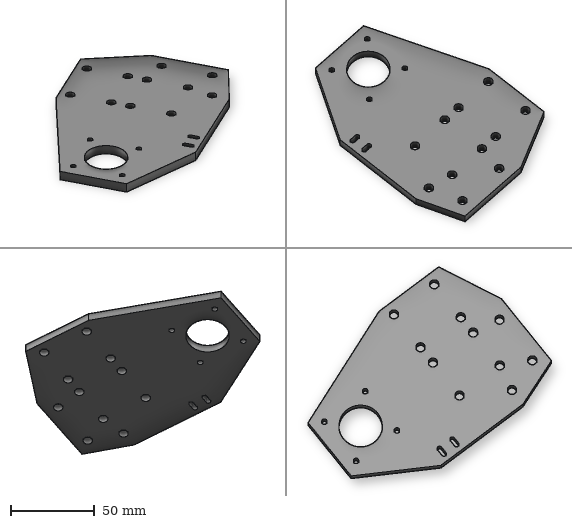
import cadquery as cq

width = 98.5
length = 138.8
thickness = 6.0

bottom_left_x = 28.7
bottom_right_x = 70.8
right_lower_y = 46.5
right_upper_y = 108.7
top_right_x = 87.6
top_left_x = 38.7
left_upper_y = 121.3
left_lower_y = 76.0

motor_center = (49.7, 23.6)
motor_bore_diameter = 26.0
motor_screw_spacing = 31.0
motor_screw_diameter = 3.3

mount_hole_diameter = 5.5
group_left_edges = (7.0, 45.0)
group_pitch_x = 26.0
group_pitch_y = 30.5
group_bottom_y = 82.0

edge_holes = [(48.3, 129.9), (80.4, 129.9), (87.5, 109.0)]

slot_length = 7.1
slot_width = 2.9
slot_x = 91.9
slot_lower_y = 52.3
slot_pitch = 9.6


def make_plate():
    outline = [
        (bottom_left_x, 0),
        (bottom_right_x, 0),
        (width, right_lower_y),
        (width, right_upper_y),
        (top_right_x, length),
        (top_left_x, length),
        (0, left_upper_y),
        (0, left_lower_y),
    ]
    return cq.Workplane("XY").polyline(outline).close().extrude(thickness)


def through_holes(points, diameter):
    return cq.Workplane("XY").pushPoints(points).circle(diameter / 2).extrude(thickness)


def through_slots():
    centers = [(slot_x, slot_lower_y), (slot_x, slot_lower_y + slot_pitch)]
    return cq.Workplane("XY").pushPoints(centers).slot2D(slot_length, slot_width).extrude(thickness)


motor_screws = [
    (motor_center[0] + side_x * motor_screw_spacing / 2, motor_center[1] + side_y * motor_screw_spacing / 2)
    for side_x in (-1, 1)
    for side_y in (-1, 1)
]
group_holes = [
    (left_edge + column * group_pitch_x, group_bottom_y + row * group_pitch_y)
    for left_edge in group_left_edges
    for column in (0, 1)
    for row in (0, 1)
]

result = (
    make_plate()
    .cut(through_holes([motor_center], motor_bore_diameter))
    .cut(through_holes(motor_screws, motor_screw_diameter))
    .cut(through_holes(group_holes + edge_holes, mount_hole_diameter))
    .cut(through_slots())
)